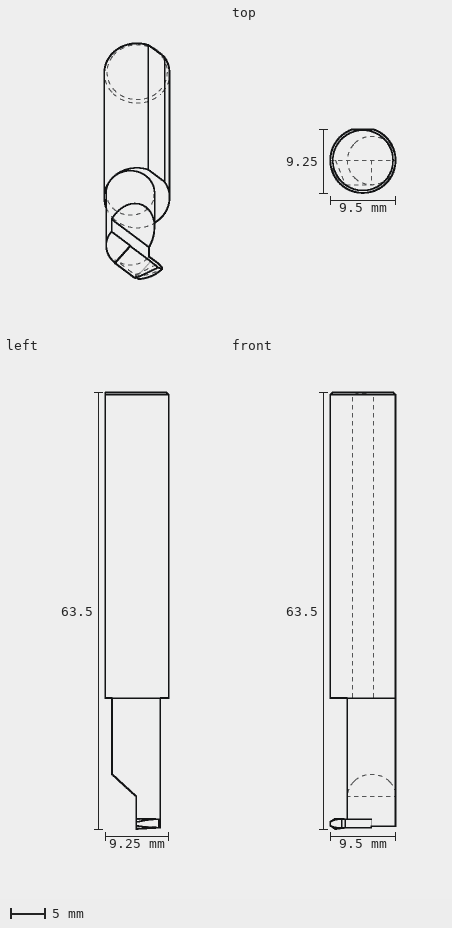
import cadquery as cq

total_length = 63.5
shank_diameter = 9.5
shank_radius = shank_diameter / 2
flat_offset = 4.5
shank_bottom = 19.05
shank_chamfer = 0.4

neck_radius = 3.52
neck_center_x = shank_radius - neck_radius
neck_bottom = 0.4

relief_slope_bottom = 4.75
relief_slope_top = 8.0

head_bottom = 0.2
head_top = 1.45
facet_start_x = -2.55
flank_start_x = -3.05
flank_start_y = -3.3
flank_middle_x = -4.1
flank_middle_y = -1.9

edge_bottom = 0
edge_top = 1.5
edge_shoulder_x = -4.0
edge_root_x = -2.55
edge_corner = 0.5
tip_back_corner = 0.05
tip_back_shoulder_x = -2.65
tip_depth = -flank_start_y


def make_shank():
    shank = (
        cq.Workplane("XY", origin=(0, 0, shank_bottom))
        .circle(shank_radius)
        .extrude(total_length - shank_bottom)
        .faces(">Z")
        .chamfer(shank_chamfer)
    )
    flat_cutter = cq.Workplane("XY").box(
        shank_diameter, shank_diameter, total_length, centered=(True, False, False)
    ).translate((0, flat_offset, 0))
    return shank.cut(flat_cutter)


def make_neck():
    neck = (
        cq.Workplane("XY", origin=(neck_center_x, 0, neck_bottom))
        .circle(neck_radius)
        .extrude(shank_bottom - neck_bottom)
    )
    relief = (
        cq.Workplane("YZ")
        .moveTo(0, 0)
        .lineTo(0, relief_slope_bottom)
        .lineTo(neck_radius, relief_slope_top)
        .lineTo(neck_radius, 0)
        .close()
        .extrude(shank_diameter, both=True)
    )
    return neck.cut(relief)


def head_plan(bottom, top):
    """Plate with a straight front, a small facet and a curved flank up to the edge."""
    return (
        cq.Workplane("XY", origin=(0, 0, bottom))
        .moveTo(neck_center_x, 0)
        .lineTo(neck_center_x, -neck_radius)
        .lineTo(facet_start_x, -neck_radius)
        .lineTo(flank_start_x, flank_start_y)
        .threePointArc((flank_middle_x, flank_middle_y), (-shank_radius, 0))
        .close()
        .extrude(top - bottom)
    )


def tip_section(shoulder_x, bottom, top, corner):
    """Corners of a tip cross-section, as X and Z, from the nose around to the root."""
    return [
        (-shank_radius, bottom + corner),
        (shoulder_x, bottom),
        (edge_root_x, head_bottom),
        (edge_root_x, head_top),
        (shoulder_x, top),
        (-shank_radius, top - corner),
    ]


def make_head():
    tip = (
        cq.Workplane("XZ")
        .polyline(tip_section(edge_shoulder_x, edge_bottom, edge_top, edge_corner))
        .close()
        .workplane(offset=tip_depth)
        .polyline(tip_section(tip_back_shoulder_x, head_bottom, head_top, tip_back_corner))
        .close()
        .loft(ruled=True)
    )
    plate_limit = cq.Workplane("XY").box(
        2 * shank_diameter, shank_diameter, edge_top, centered=(False, True, False)
    ).translate((edge_root_x, 0, 0))
    plate = head_plan(head_bottom, head_top).intersect(plate_limit)
    return plate.union(head_plan(edge_bottom, edge_top).intersect(tip))


result = make_shank().union(make_neck()).union(make_head())